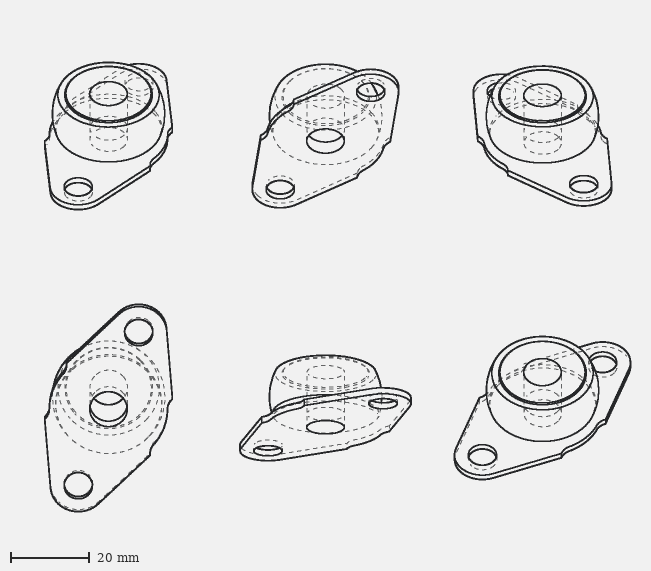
import cadquery as cq
import math

plate_length = 58.7
plate_thickness = 1.65
lobe_diameter = 30.0
lobe_radius = lobe_diameter / 2
ear_radius = 7.1
ear_center_y = plate_length / 2 - ear_radius
bolt_hole_diameter = 7.15

relief_outer_y = 8.15
relief_inner_y = 4.65
relief_depth = 0.4
relief_end_x = math.sqrt(lobe_radius**2 - relief_inner_y**2)

collar_top_z = 3.7
flare_outer_radius = 14.9

bore_diameter = 9.5
bore_radius = bore_diameter / 2
cushion_bottom_radius = 13.5
cushion_widest_radius = 14.25
cushion_widest_z = 8.35
shoulder_radius = 12.85
shoulder_z = 14.7
total_height = 15.05
boss_base_radius = 11.1
boss_top_radius = 10.8

flare_width = flare_outer_radius - cushion_bottom_radius
flare_height = collar_top_z - plate_thickness
flare_radius = (flare_width**2 + flare_height**2) / (2 * flare_height)


def ear_tangent_point():
    """Point on the +Y ear arc where the straight side from the relief corner is tangent."""
    offset_y = relief_outer_y - ear_center_y
    distance = math.hypot(relief_end_x, offset_y)
    direction = math.atan2(offset_y, relief_end_x)
    angle = direction + math.acos(ear_radius / distance)
    return ear_radius * math.cos(angle), ear_center_y + ear_radius * math.sin(angle)


def make_plate():
    """Diamond plate with rounded ears, central lobes and two bolt holes."""
    tangent_x, tangent_y = ear_tangent_point()
    relief_mid_x = relief_end_x - relief_depth
    relief_mid_y = (relief_outer_y + relief_inner_y) / 2
    plate = (
        cq.Workplane("XY")
        .moveTo(relief_end_x, -relief_inner_y)
        .threePointArc((lobe_radius, 0), (relief_end_x, relief_inner_y))
        .threePointArc((relief_mid_x, relief_mid_y), (relief_end_x, relief_outer_y))
        .lineTo(tangent_x, tangent_y)
        .threePointArc((0, plate_length / 2), (-tangent_x, tangent_y))
        .lineTo(-relief_end_x, relief_outer_y)
        .threePointArc((-relief_mid_x, relief_mid_y), (-relief_end_x, relief_inner_y))
        .threePointArc((-lobe_radius, 0), (-relief_end_x, -relief_inner_y))
        .threePointArc((-relief_mid_x, -relief_mid_y), (-relief_end_x, -relief_outer_y))
        .lineTo(-tangent_x, -tangent_y)
        .threePointArc((0, -plate_length / 2), (tangent_x, -tangent_y))
        .lineTo(relief_end_x, -relief_outer_y)
        .threePointArc((relief_mid_x, -relief_mid_y), (relief_end_x, -relief_inner_y))
        .close()
        .extrude(plate_thickness)
    )
    bolt_holes = (
        cq.Workplane("XY")
        .pushPoints([(0, ear_center_y), (0, -ear_center_y)])
        .circle(bolt_hole_diameter / 2)
        .extrude(plate_thickness)
    )
    return plate.cut(bolt_holes)


def make_collar():
    """Ring whose concave flare runs out tangent to the plate's top face."""
    flare_center_z = plate_thickness + flare_radius
    neck_radius = flare_outer_radius - flare_radius
    return (
        cq.Workplane("XZ")
        .moveTo(bore_radius, 0)
        .lineTo(neck_radius, 0)
        .lineTo(neck_radius, plate_thickness)
        .lineTo(flare_outer_radius, plate_thickness)
        .threePointArc((neck_radius, flare_center_z), (cushion_bottom_radius, collar_top_z))
        .lineTo(bore_radius, collar_top_z)
        .close()
        .revolve(360, (0, 0), (0, 1))
    )


def make_flange():
    """Plate and collar as one body with the central bore through it."""
    bore = cq.Workplane("XY").circle(bore_radius).extrude(collar_top_z)
    return make_plate().union(make_collar()).cut(bore)


def make_cushion():
    """Barrel-shaped ring with a low tapered boss on its flat top."""
    return (
        cq.Workplane("XZ")
        .moveTo(bore_radius, collar_top_z)
        .lineTo(cushion_bottom_radius, collar_top_z)
        .threePointArc((cushion_widest_radius, cushion_widest_z), (shoulder_radius, shoulder_z))
        .lineTo(boss_base_radius, shoulder_z)
        .lineTo(boss_top_radius, total_height)
        .lineTo(bore_radius, total_height)
        .close()
        .revolve(360, (0, 0), (0, 1))
    )


flange = make_flange()
cushion = make_cushion()
result = cq.Compound.makeCompound([flange.solids().val(), cushion.val()])